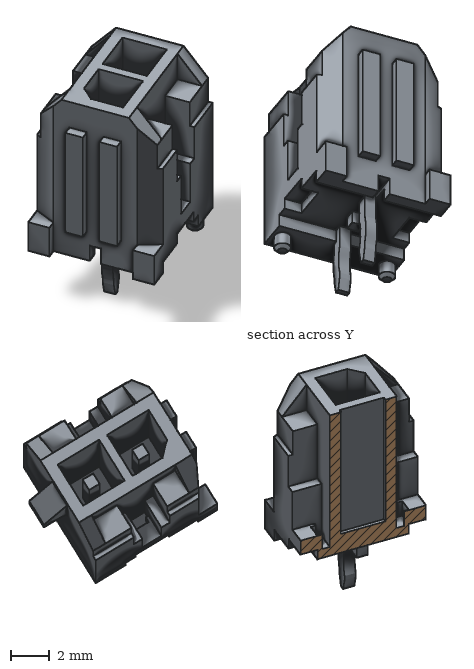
import cadquery as cq


overall_depth = 8.77
overall_height = 13.09

width = 7.15
depth = 6.86
height = 9.9
half_width = width / 2
mid_y = 3.45
pitch = 3.0
tower_half_width = 1.91
shoulder_half_width = 3.31
shoulder_low_z = 6.73
shoulder_high_z = 8.25
ramp_front_depth = 1.03
ramp_back_depth = 0.76

corner_flat_half_width = 2.37
corner_depth = 0.6
front_projection = 0.51
foot_height = 1.85
rib_width = 1.0
rib_center_x = 0.97

wide_slot_width = 2.17
wide_slot_floor_z = 4.73
narrow_slot_width = 1.15
narrow_slot_floor_z = 2.26
well_floor_z = 1.32
well_half_width = 2.32
well_nose_half_width = 2.6
well_nose_width = 0.79
undercut_height = 0.71
undercut_front_y = 0.65
undercut_back_y = 5.05
recess_front_y = 2.41
recess_back_y = 4.44
recess_top_z = 1.32

pocket_size = 2.51
pocket_floor_z = 1.96
pocket_key = 0.7
contact_size = 0.64
contact_top_z = 7.2
contact_tip_z = height - overall_height
contact_tip_width = 0.29
bend_top_z = -0.54
bend_bottom_z = -2.23
bend_offset = 0.13
contact_taper_z = -2.49
entry_height = 0.98
post_size = 0.63

latch_width = 1.47
latch_reach = overall_depth - depth - front_projection
latch_top_z = 9.31
latch_nose_high_z = 7.68
latch_nose_low_z = 6.92
latch_fillet = 0.6
peg_diameter = 0.88
peg_length = 0.88
peg_chamfer = 0.2
peg_y = 5.9


def block(x_range, y_range, z_range):
    """Box between two limits along each axis."""
    (x0, x1), (y0, y1), (z0, z1) = x_range, y_range, z_range
    return cq.Workplane("XY").box(x1 - x0, y1 - y0, z1 - z0, centered=False).translate((x0, y0, z0))


def span(center, size):
    return center - size / 2, center + size / 2


def side_range(side, inner, outer):
    """X limits on the left (-1) or right (+1) side."""
    return tuple(sorted((side * inner, side * outer)))


def housing_shell():
    outline = [
        (half_width, 0),
        (half_width, shoulder_low_z),
        (shoulder_half_width, shoulder_low_z),
        (shoulder_half_width, shoulder_high_z),
        (tower_half_width, height),
    ]
    outline += [(-x, z) for x, z in reversed(outline)]
    shell = cq.Workplane("XZ").polyline(outline).close().extrude(-depth)

    for side in (-1, 1):
        shell = shell.cut(block(
            side_range(side, tower_half_width, half_width),
            (ramp_front_depth, depth - ramp_back_depth),
            (shoulder_high_z, height),
        ))
        corner = (
            cq.Workplane("XY")
            .polyline([
                (side * corner_flat_half_width, 0),
                (side * half_width, 0),
                (side * half_width, corner_depth),
            ])
            .close()
            .extrude(height - foot_height)
            .translate((0, 0, foot_height))
        )
        shell = shell.cut(corner)
    return shell


def front_feet_and_ribs(body):
    for side in (-1, 1):
        body = body.union(block(
            side_range(side, corner_flat_half_width, half_width),
            (-front_projection, corner_depth),
            (0, foot_height),
        ))
        body = body.union(block(
            span(side * rib_center_x, rib_width),
            (-front_projection, 0),
            (foot_height, shoulder_high_z),
        ))
    return body


def cut_side_slots(body):
    for side in (-1, 1):
        slot_x = side_range(side, tower_half_width, half_width)
        body = body.cut(block(slot_x, span(mid_y, wide_slot_width), (wide_slot_floor_z, height)))
        narrow_y = span(mid_y, narrow_slot_width)
        body = body.cut(block(slot_x, narrow_y, (narrow_slot_floor_z, height)))

        well_z = (well_floor_z, narrow_slot_floor_z)
        body = body.cut(block(side_range(side, tower_half_width, well_half_width), narrow_y, well_z))
        nose_x = side_range(side, well_half_width, well_nose_half_width)
        body = body.cut(block(nose_x, span(mid_y, well_nose_width), well_z))

        body = body.cut(block(
            side_range(side, well_nose_half_width, half_width),
            (recess_front_y, recess_back_y),
            (0, recess_top_z),
        ))
    return body


def cut_underside(body):
    undercut = block(
        (-half_width, half_width),
        (undercut_front_y, undercut_back_y),
        (0, undercut_height),
    )
    entry = block(span(0, contact_size), (0, mid_y - pitch / 2), (0, entry_height))
    post = block(span(0, post_size), span(mid_y, post_size), (0, undercut_height))
    return body.cut(undercut).cut(entry).union(post)


def cut_pockets(body):
    for center_y in (mid_y - pitch / 2, mid_y + pitch / 2):
        pocket = block(span(0, pocket_size), span(center_y, pocket_size), (pocket_floor_z, height))
        if center_y < mid_y:
            pocket = pocket.edges("|Z and <X and <Y").chamfer(pocket_key)
        body = body.cut(pocket)
    return body


def contact(side):
    """Square contact whose tail bows away from the other contact."""
    center_y = mid_y + side * pitch / 2
    outer = center_y + side * contact_size / 2
    inner = center_y - side * contact_size / 2
    bow = side * bend_offset
    bend_mid_z = (bend_top_z + bend_bottom_z) / 2
    tip = side * contact_tip_width / 2
    return (
        cq.Workplane("YZ")
        .moveTo(outer, contact_top_z)
        .lineTo(outer, bend_top_z)
        .threePointArc((outer + bow, bend_mid_z), (outer, bend_bottom_z))
        .lineTo(outer, contact_taper_z)
        .lineTo(center_y + tip, contact_tip_z)
        .lineTo(center_y - tip, contact_tip_z)
        .lineTo(inner, contact_taper_z)
        .lineTo(inner, bend_bottom_z)
        .threePointArc((inner + bow, bend_mid_z), (inner, bend_top_z))
        .lineTo(inner, contact_top_z)
        .close()
        .extrude(contact_size / 2, both=True)
    )


def latch():
    nose_y = depth + latch_reach
    arc_center = (depth + latch_fillet, latch_nose_low_z - latch_fillet)
    arc_reach = latch_fillet * 0.5 ** 0.5
    return (
        cq.Workplane("YZ")
        .moveTo(depth, latch_top_z)
        .lineTo(nose_y, latch_nose_high_z)
        .lineTo(nose_y, latch_nose_low_z)
        .lineTo(depth + latch_fillet, latch_nose_low_z)
        .threePointArc(
            (arc_center[0] - arc_reach, arc_center[1] + arc_reach),
            (depth, arc_center[1]),
        )
        .close()
        .extrude(latch_width / 2, both=True)
    )


def locating_peg(side):
    peg = cq.Workplane("XY").circle(peg_diameter / 2).extrude(-peg_length)
    return peg.faces("<Z").chamfer(peg_chamfer).translate((side * pitch, peg_y, 0))


result = front_feet_and_ribs(housing_shell())
result = cut_side_slots(result)
result = cut_underside(result)
result = cut_pockets(result)
result = result.union(latch())
for end in (-1, 1):
    result = result.union(contact(end))
    result = result.union(locating_peg(end))